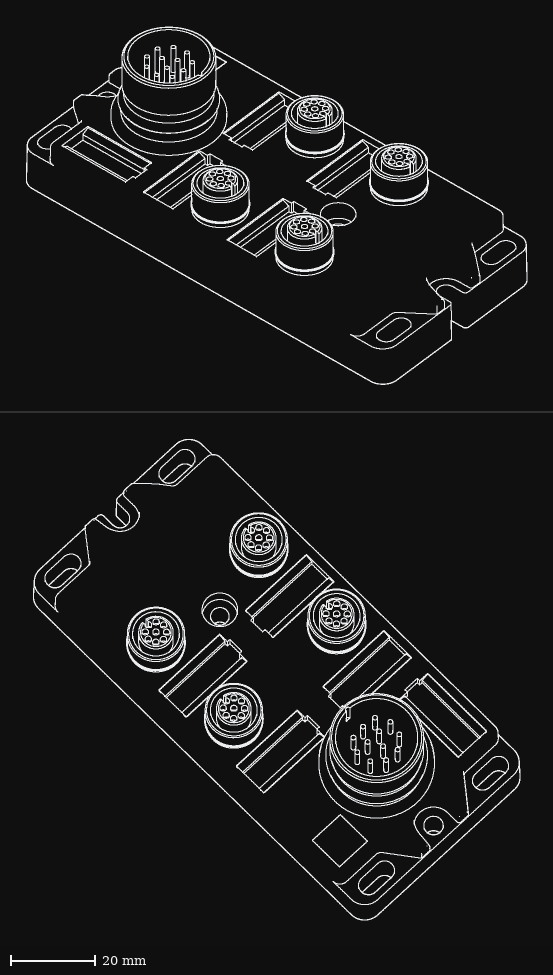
import cadquery as cq
import math

LENGTH = 115.4
WIDTH = 54.0
LEDGE_Z = 10.8
TOP_Z = 15.7
BASE_CORNER_R = 4.4
DRAFT_ANGLE = 0.8

DRAFT_INSET = TOP_Z * math.tan(math.radians(DRAFT_ANGLE))
HOUSING_HALF_Y = WIDTH / 2 - DRAFT_INSET

HOUSING_HALF_X = 49.2
HOUSING_CORNER_R = 2.3
RIM_FILLET = 0.8
EAR_ROOT_Y = 14.0
EAR_TIP_Y = 7.7
EAR_TIP_X = 57.4
EAR_TIP_Z = 13.2
EAR_TIP_FILLET = 0.7
EAR_ROOT_FILLET = 1.7
EAR_SLOPE_START_X = 52.2
EAR_SLOPE_R = 5.8

MOUNT_X = 53.4
POCKET_R = 4.6
MOUNT_HOLE_D = 4.6
MOUTH_FILLET = 0.9
SLOT_WIDTH = 4.7
SLOT_LENGTH = 10.0
SLOT_Y = 18.8
SCREW_X = 19.4
SCREW_HOLE_D = 4.4
SCREW_BORE_D = 8.4

LABEL_LENGTH = 20.1
LABEL_WIDTH = 9.3
LABEL_OUTER_Y = 24.3
LABEL_EDGE_DEPTH = 0.5
LABEL_LIP_DEPTH = 1.4
LABEL_DEPTH = 3.1
LABEL_FLOOR_WIDTH = 5.7
LABEL_TAB_WIDTH = 4.0
LABEL_TAB_LENGTH = 0.8
LABEL_COLUMNS_X = (-16.0, 10.4)
END_LABEL_X = -36.4
PLATE_SIZE = 9.2
PLATE_DEPTH = 0.1
PLATE_CENTER = (-41.9, 19.7)

LIGHT_D = 3.7
LIGHT_HEIGHT = 0.3
LIGHT_SPHERE_R = (LIGHT_D ** 2 / 4 + LIGHT_HEIGHT ** 2) / (2 * LIGHT_HEIGHT)
LIGHT_Y = 6.5
LIGHT_COLUMNS_X = (-8.0, 2.1, 18.6, 28.5)

SOCKET_COLUMNS_X = (-2.9, 23.7)
SOCKET_Y = 17.0
SOCKET_D = 13.6
SOCKET_COLLAR_D = 14.0
SOCKET_COLLAR_Z = (17.1, 17.4)
SOCKET_TOP_Z = 23.8
SOCKET_BORE_D = 11.1
SOCKET_CHAMFER = 0.3
SOCKET_FLOOR_Z = 17.9
SOCKET_FLOOR_FILLET = 1.4
INSERT_D = 8.2
INSERT_TOP_Z = 25.2
INSERT_CHAMFER = 0.5
CONTACT_D = 1.5
CONTACT_COUNT = 8
CONTACT_RADIUS = 2.5
CONTACT_DEPTH = 3.5
KEY_WIDTH = 1.2
KEY_DEPTH = 0.9

PLUG_X = -34.0
PLUG_FLANGE_D = 27.5
PLUG_FLANGE_Z = 17.9
PLUG_FLANGE_FILLET = 0.5
PLUG_LOWER_D = 22.8
PLUG_RING_Z = (20.7, 23.2)
PLUG_RING_D = 24.1
PLUG_RING_CREST_Z = 21.5
PLUG_RING_EDGE_D = 23.5
PLUG_RING_EDGE_Z = 22.4
PLUG_NECK_D = 21.5
PLUG_BARREL_D = 22.3
PLUG_BARREL_Z = 26.0
PLUG_TOP_Z = 34.9
PLUG_RIM_CHAMFER = 0.5
PLUG_BORE_D = 19.5
PLUG_FLOOR_Z = 25.6
PLUG_FLOOR_FILLET = 1.6
PLUG_KEY_D = 1.2
PIN_D = 1.2
PIN_TOP_Z = 33.1
PIN_OUTER_RADIUS = 5.5
PIN_INNER_RADIUS = 2.2
PIN_SINGLE_RADIUS = 4.6


def cylinder(x, y, diameter, bottom, top):
    return cq.Workplane("XY", (x, y, bottom)).circle(diameter / 2).extrude(top - bottom)


def fillet_edge_near(body, point, radius):
    return body.edges(cq.selectors.NearestToPointSelector(point)).fillet(radius)


def make_drafted_block(height):
    return cq.Workplane("XY").rect(LENGTH, WIDTH).extrude(height, taper=DRAFT_ANGLE)


def make_base():
    return make_drafted_block(LEDGE_Z).edges("not #Z").fillet(BASE_CORNER_R)


def make_upper_housing():
    quarter = [
        (HOUSING_HALF_X, WIDTH / 2),
        (HOUSING_HALF_X, EAR_ROOT_Y),
        (EAR_TIP_X, EAR_TIP_Y),
    ]
    right = quarter + [(x, -y) for x, y in reversed(quarter)]
    left = [(-x, -y) for x, y in right]
    height = TOP_Z - LEDGE_Z
    plan = cq.Workplane("XY", (0, 0, LEDGE_Z)).polyline(right + left).close()
    plan = plan.extrude(height).intersect(make_drafted_block(TOP_Z))
    mid_z = LEDGE_Z + height / 2
    for side in (-1, 1):
        for end in (-1, 1):
            corner = (end * HOUSING_HALF_X, side * HOUSING_HALF_Y, mid_z)
            root = (end * HOUSING_HALF_X, side * EAR_ROOT_Y, mid_z)
            plan = fillet_edge_near(plan, corner, HOUSING_CORNER_R)
            plan = fillet_edge_near(plan, root, EAR_ROOT_FILLET)
    side_profile = (
        cq.Workplane("XZ", (0, WIDTH / 2, 0))
        .polyline([
            (-EAR_TIP_X, LEDGE_Z),
            (-EAR_TIP_X, EAR_TIP_Z),
            (-EAR_SLOPE_START_X, TOP_Z),
            (EAR_SLOPE_START_X, TOP_Z),
            (EAR_TIP_X, EAR_TIP_Z),
            (EAR_TIP_X, LEDGE_Z),
        ])
        .close()
        .extrude(WIDTH)
        .edges("|Y and >Z")
        .fillet(EAR_SLOPE_R)
    )
    return plan.intersect(side_profile)


def make_end_pocket(end):
    """U-shaped pocket around an end mounting hole, open toward the end of the part."""
    reach = LENGTH / 2 - MOUNT_X + 1.2
    height = TOP_Z - LEDGE_Z
    pocket = cylinder(end * MOUNT_X, 0, 2 * POCKET_R, LEDGE_Z, TOP_Z)
    run = cq.Workplane("XY").box(reach, 2 * POCKET_R, height, centered=(True, True, False))
    return pocket.union(run.translate((end * (MOUNT_X + reach / 2), 0, LEDGE_Z)))


def make_housing():
    upper = make_upper_housing()
    for end in (-1, 1):
        upper = upper.cut(make_end_pocket(end))
        for side in (-1, 1):
            tip = (end * EAR_TIP_X, side * POCKET_R, (LEDGE_Z + EAR_TIP_Z) / 2)
            upper = fillet_edge_near(upper, tip, EAR_TIP_FILLET)
    rim = upper.faces(">Z").edges().filter(
        lambda e: not (e.geomType() == "LINE" and abs(abs(e.Center().x) - EAR_SLOPE_START_X) < 2.3
                       and abs(e.tangentAt(0.5).y) > 0.99)
    )
    upper = upper.newObject(rim.vals()).fillet(RIM_FILLET)
    return make_base().union(upper)


def cut_mounting(body):
    slots = (
        cq.Workplane("XY")
        .rarray(2 * MOUNT_X, 2 * SLOT_Y, 2, 2)
        .slot2D(SLOT_LENGTH, SLOT_WIDTH, 90)
        .extrude(LEDGE_Z)
    )
    body = body.cut(slots).cut(cylinder(-MOUNT_X, 0, MOUNT_HOLE_D, 0, LEDGE_Z))
    reach = LENGTH / 2 - MOUNT_X
    mouth = cq.Workplane("XY").box(reach, MOUNT_HOLE_D, LEDGE_Z, centered=(False, True, False))
    body = body.cut(cylinder(MOUNT_X, 0, MOUNT_HOLE_D, 0, LEDGE_Z)).cut(mouth.translate((MOUNT_X, 0, 0)))
    for side in (-1, 1):
        corner = (LENGTH / 2, side * MOUNT_HOLE_D / 2, LEDGE_Z / 2)
        body = fillet_edge_near(body, corner, MOUTH_FILLET)
    body = body.cut(cylinder(SCREW_X, 0, SCREW_HOLE_D, 0, TOP_Z))
    return body.cut(cylinder(SCREW_X, 0, SCREW_BORE_D, LEDGE_Z, TOP_Z))


def make_label_recess():
    """Recess running along +X from the origin, with a tab notch at its far end."""
    half = LABEL_WIDTH / 2
    floor_half = LABEL_FLOOR_WIDTH / 2
    edge_z = TOP_Z - LABEL_EDGE_DEPTH
    lip_z = TOP_Z - LABEL_LIP_DEPTH
    floor_z = TOP_Z - LABEL_DEPTH
    recess = (
        cq.Workplane("YZ")
        .polyline([
            (-half, TOP_Z),
            (-half, edge_z),
            (-floor_half, lip_z),
            (-floor_half, floor_z),
            (floor_half, floor_z),
            (floor_half, lip_z),
            (half, edge_z),
            (half, TOP_Z),
        ])
        .close()
        .extrude(LABEL_LENGTH)
    )
    tab = cq.Workplane("XY").box(
        LABEL_TAB_LENGTH, LABEL_TAB_WIDTH, LABEL_DEPTH, centered=(False, True, False)
    )
    return recess.union(tab.translate((LABEL_LENGTH, 0, floor_z)))


def cut_labels(body):
    recess = make_label_recess()
    for x in LABEL_COLUMNS_X:
        for side in (-1, 1):
            turned = recess.rotate((0, 0, 0), (0, 0, 1), -side * 90)
            body = body.cut(turned.translate((x, side * LABEL_OUTER_Y, 0)))
    end_x = END_LABEL_X - LABEL_LENGTH / 2
    body = body.cut(recess.translate((end_x, LABEL_WIDTH / 2 - LABEL_OUTER_Y, 0)))
    plate = cq.Workplane("XY", (*PLATE_CENTER, TOP_Z - PLATE_DEPTH)).rect(PLATE_SIZE, PLATE_SIZE)
    return body.cut(plate.extrude(PLATE_DEPTH))


def add_lights(body):
    places = [(x, side * LIGHT_Y) for x in LIGHT_COLUMNS_X for side in (-1, 1)]
    places.append((LIGHT_COLUMNS_X[0], 0))
    dome = (
        cq.Workplane("XZ")
        .moveTo(0, TOP_Z)
        .lineTo(LIGHT_D / 2, TOP_Z)
        .radiusArc((0, TOP_Z + LIGHT_HEIGHT), -LIGHT_SPHERE_R)
        .close()
        .revolve(360, (0, 0, 0), (0, 1, 0))
    )
    for x, y in places:
        body = body.union(dome.translate((x, y, 0)))
    return body


def make_socket():
    shell = cylinder(0, 0, SOCKET_D, TOP_Z, SOCKET_TOP_Z).faces(">Z").edges().chamfer(SOCKET_CHAMFER)
    shell = shell.union(cylinder(0, 0, SOCKET_COLLAR_D, *SOCKET_COLLAR_Z))
    cavity = cylinder(0, 0, SOCKET_BORE_D, SOCKET_FLOOR_Z, SOCKET_TOP_Z)
    cavity = cavity.faces("<Z").edges().fillet(SOCKET_FLOOR_FILLET)
    insert = cylinder(0, 0, INSERT_D, SOCKET_FLOOR_Z, INSERT_TOP_Z)
    insert = insert.faces(">Z").edges().chamfer(INSERT_CHAMFER)
    contacts = (
        cq.Workplane("XY", (0, 0, INSERT_TOP_Z))
        .polarArray(CONTACT_RADIUS, 0, 360, CONTACT_COUNT)
        .circle(CONTACT_D / 2)
        .extrude(-CONTACT_DEPTH)
    )
    contacts = contacts.union(cylinder(0, 0, CONTACT_D, INSERT_TOP_Z - CONTACT_DEPTH, INSERT_TOP_Z))
    key = cq.Workplane("XY").box(
        2 * KEY_DEPTH, KEY_WIDTH, INSERT_TOP_Z - SOCKET_FLOOR_Z, centered=(True, True, False)
    )
    insert = insert.cut(contacts).cut(key.translate((INSERT_D / 2, 0, SOCKET_FLOOR_Z)))
    return shell.cut(cavity).union(insert)


def add_sockets(body):
    socket = make_socket()
    for x in SOCKET_COLUMNS_X:
        for side in (-1, 1):
            body = body.union(socket.translate((x, side * SOCKET_Y, 0)))
    return body


def make_plug():
    flange = cylinder(0, 0, PLUG_FLANGE_D, TOP_Z, PLUG_FLANGE_Z)
    flange = flange.faces(">Z").edges().fillet(PLUG_FLANGE_FILLET)
    ring_bottom, ring_top = PLUG_RING_Z
    lower = cylinder(0, 0, PLUG_LOWER_D, TOP_Z, ring_bottom)
    neck = cylinder(0, 0, PLUG_NECK_D, TOP_Z, PLUG_BARREL_Z)
    ring = (
        cq.Workplane("XZ")
        .moveTo(0, ring_bottom)
        .lineTo(PLUG_LOWER_D / 2, ring_bottom)
        .threePointArc((PLUG_RING_D / 2, PLUG_RING_CREST_Z), (PLUG_RING_EDGE_D / 2, PLUG_RING_EDGE_Z))
        .lineTo(PLUG_NECK_D / 2, ring_top)
        .lineTo(0, ring_top)
        .close()
        .revolve(360, (0, 0, 0), (0, 1, 0))
    )
    barrel = cylinder(0, 0, PLUG_BARREL_D, PLUG_BARREL_Z, PLUG_TOP_Z)
    barrel = barrel.faces(">Z").edges().chamfer(PLUG_RIM_CHAMFER)
    bore = cylinder(0, 0, PLUG_BORE_D, PLUG_FLOOR_Z, PLUG_TOP_Z)
    bore = bore.faces("<Z").edges().fillet(PLUG_FLOOR_FILLET)
    key = cylinder(PLUG_BORE_D / 2, 0, PLUG_KEY_D, PLUG_FLOOR_Z + PLUG_FLOOR_FILLET, PLUG_TOP_Z)
    plug = flange.union(lower).union(neck).union(ring).union(barrel).cut(bore).cut(key)
    pins = [(PIN_OUTER_RADIUS, 40 * i) for i in range(1, 9)]
    pins += [(PIN_INNER_RADIUS, 60 + 120 * i) for i in range(3)]
    pins.append((PIN_SINGLE_RADIUS, 0))
    for radius, angle in pins:
        x = radius * math.cos(math.radians(angle))
        y = radius * math.sin(math.radians(angle))
        plug = plug.union(cylinder(x, y, PIN_D, PLUG_FLOOR_Z, PIN_TOP_Z))
    return plug


housing = cut_labels(cut_mounting(make_housing()))
housing = add_sockets(add_lights(housing))
result = housing.union(make_plug().translate((PLUG_X, 0, 0)))